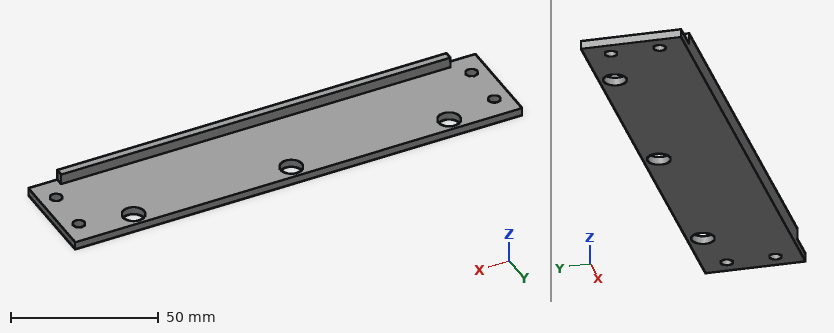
import cadquery as cq

plate_length = 170.0
plate_width = 35.0
plate_thickness = 3.0

overall_height = 7.0
rib_end_gap = 11.0
rib_width = 3.0
rib_length = plate_length - 2 * rib_end_gap
rib_height = overall_height - plate_thickness

large_hole_diameter = 8.0
large_hole_pitch = 60.0
large_hole_back_gap = 5.5

small_hole_diameter = 4.2
small_hole_end_gap = 6.0
small_hole_front_gap = 9.0
small_hole_spacing = 17.0


def make_plate():
    return cq.Workplane("XY").box(plate_length, plate_width, plate_thickness, centered=False)


def make_rib():
    rib = cq.Workplane("XY").box(rib_length, rib_width, rib_height, centered=False)
    return rib.translate((rib_end_gap, 0, plate_thickness))


def make_through_holes(centers, diameter):
    return cq.Workplane("XY").pushPoints(centers).circle(diameter / 2).extrude(plate_thickness)


large_hole_y = plate_width - large_hole_back_gap
large_hole_centers = [
    (plate_length / 2 + step * large_hole_pitch, large_hole_y) for step in (-1, 0, 1)
]

small_hole_centers = [
    (x, y)
    for x in (small_hole_end_gap, plate_length - small_hole_end_gap)
    for y in (small_hole_front_gap, small_hole_front_gap + small_hole_spacing)
]

result = (
    make_plate()
    .union(make_rib())
    .cut(make_through_holes(large_hole_centers, large_hole_diameter))
    .cut(make_through_holes(small_hole_centers, small_hole_diameter))
)